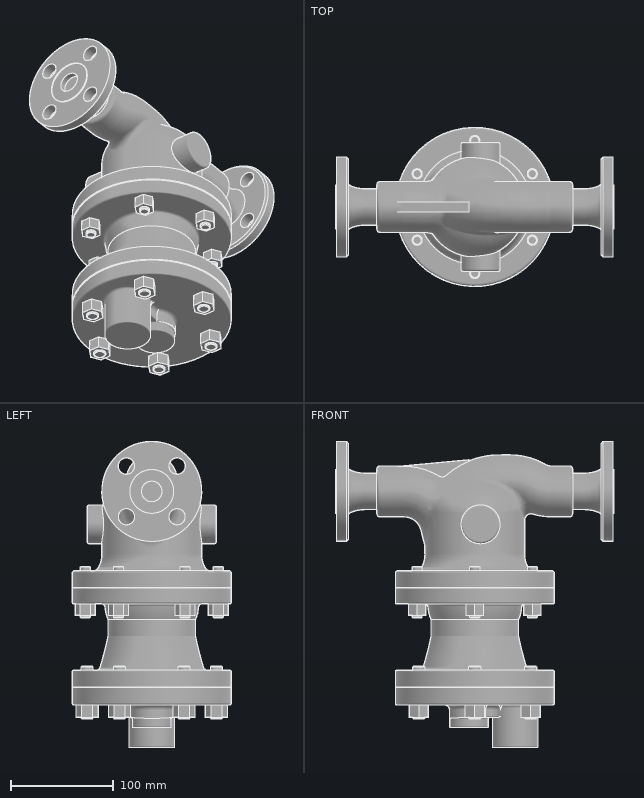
import cadquery as cq
import math


overall_height = 300.0

pipe_radius = 50.0 / 2
pipe_end_x = 96.0
pipe_end_fillet = 3.3
end_flange_radius = 98.0 / 2
port_height = overall_height - end_flange_radius
end_flange_inner_x = 123.5
end_flange_outer_x = 135.5
end_flange_chamfer = 2.0
raised_face_radius = 43.0 / 2
raised_face_x = 136.5
end_hub_base_radius = 22.2
end_hub_radius = 20.5
end_hub_x = 120.5
end_neck_radius = 18.0
end_neck_x = 108.0
bore_diameter = 20.0
bore_depth = 6.5
end_hole_diameter = 16.0
end_hole_circle_radius = 35.0
end_hole_count = 4
end_hole_first_angle = 45

inlet_elbow_x = -69.3
inlet_elbow_radius = 42.0
inlet_elbow_angle = math.radians(76)
inlet_tail = 24.0

outlet_start_x = 75.0
outlet_lower_radius = 36.3
outlet_upper_radius = 45.0
outlet_bend_angle = math.radians(30)
outlet_crest_length = 10.0
outlet_drop_radius = 55.2
outlet_drop_angle = math.radians(50)

body_radius = 98.0 / 2
dome_base_z = 230.7
dome_rise = 35.5
body_flare_top_z = 188.7
body_flare_base_z = 176.7
body_flare_radius = 52.2
flange_radius = 156 / 2
upper_flange_top_z = 173.5
upper_joint_z = 156.5
upper_flange_bottom_z = 140.7
upper_flange_top_edge = 2.7
upper_flange_fillet_radius = 112.2 / 2
waist_radius = 86.0 / 2
waist_shoulder_radius = 92.0 / 2
waist_fillet_radius = 49.2
waist_fillet_z = 137.7
waist_top_z = 125.5
waist_bottom_z = 109.0
waist_flare_middle_radius = 46.5
waist_flare_z = 79.0
waist_flare_radius = 50.7
waist_foot_radius = 54.0
lower_flange_top_z = 76.0
lower_joint_z = 59.0
lower_flange_bottom_z = 41.7
flange_edge = 1.8
joint_gap = 0.3
joint_depth = 1.0

elbow_fillet = 13.8
outlet_fillet = 6.0
outlet_blend_min_x = -30

boss_diameter = 38.0
boss_offset_x = 5.7
boss_z = 218.7
boss_half_span = 63.3
boss_fillet = 2.0

rib_width = 10.0
rib_start_x = -76.0
rib_end_x = -5.7
rib_start_z = port_height + math.sqrt(pipe_radius**2 - (rib_width / 2) ** 2)
rib_end_z = 282.0
rib_bottom_z = 252.0

drain_radius = 45 / 2
drain_x = 39.5
drain_skirt = 2.7
post_edge = 1.2
plug_x = -boss_offset_x
plug_bottom_z = 19.5
plug_skirt = 1.5
pad_radius = 20.7
pad_x = -4.2
pad_bottom_z = 29.5
web_half_width = 14.5
web_flare_radius = 11.7
pad_edge = 1.2
pad_root_fillet = 4.8
root_reach = flange_radius - 2 * flange_edge
root_zone_half_height = 0.3

stud_count = 6
stud_first_angle = 30
stud_chamfer = 1.0
nut_turn = 30
upper_stud_diameter = 10.0
upper_stud_circle_radius = 65.0
upper_stud_top_z = 177.5
upper_stud_bottom_z = 127.0
upper_nut_bottom_z = 129.5
upper_nut_flats = 17.0
lower_stud_diameter = 12.0
lower_stud_circle_radius = 63.3
lower_stud_top_z = 79.8
lower_stud_bottom_z = 28.2
lower_nut_bottom_z = 29.7
lower_nut_flats = 19.0


def make_body():
    """Domed body and waist, revolved about Z."""
    profile = (
        cq.Workplane("XZ")
        .moveTo(body_radius, dome_base_z)
        .lineTo(body_radius, body_flare_top_z)
        .tangentArcPoint((body_flare_radius, body_flare_base_z), relative=False)
        .tangentArcPoint((upper_flange_fillet_radius, upper_flange_top_z), relative=False)
        .lineTo(upper_flange_fillet_radius, upper_flange_bottom_z)
        .lineTo(waist_fillet_radius, upper_flange_bottom_z)
        .tangentArcPoint((waist_shoulder_radius, waist_fillet_z), relative=False)
        .tangentArcPoint((waist_radius, waist_top_z), relative=False)
        .lineTo(waist_radius, waist_bottom_z)
        .threePointArc(
            (waist_flare_middle_radius, (waist_bottom_z + waist_flare_z) / 2),
            (waist_flare_radius, waist_flare_z),
        )
        .tangentArcPoint((waist_foot_radius, lower_flange_top_z), relative=False)
        .lineTo(waist_foot_radius, lower_flange_bottom_z)
        .lineTo(0, lower_flange_bottom_z)
        .lineTo(0, dome_base_z)
        .close()
    )
    barrel = profile.revolve(360, (0, 0, 0), (0, 1, 0))
    dome = (
        cq.Workplane("XZ", origin=(0, 0, dome_base_z))
        .ellipseArc(body_radius, dome_rise, 0, 90, startAtCurrent=False)
        .lineTo(0, 0)
        .close()
        .revolve(360, (0, 0, 0), (0, 1, 0))
    )
    return barrel.union(dome)


def flange_pair(bottom_z, joint_z, top_z, top_edge):
    """Two bolted flanges with rounded rims and a fine groove at their joint."""
    pair = (
        cq.Workplane("XY", origin=(0, 0, bottom_z))
        .circle(flange_radius)
        .extrude(top_z - bottom_z)
        .faces(">Z")
        .edges()
        .fillet(top_edge)
        .faces("<Z")
        .edges()
        .fillet(flange_edge)
    )
    groove = (
        cq.Workplane("XY", origin=(0, 0, joint_z - joint_gap / 2))
        .circle(flange_radius)
        .circle(flange_radius - joint_depth)
        .extrude(joint_gap)
    )
    return pair.cut(groove)


def make_casting():
    """Body blended first into the inlet elbow, then into the outlet bend."""
    casting = make_body().union(make_inlet_elbow())
    casting = casting.edges("%BSPLINE").fillet(elbow_fillet)
    casting = casting.union(make_outlet_bend())
    outlet_zone = cq.selectors.BoxSelector(
        (outlet_blend_min_x, -body_radius, dome_base_z),
        (body_radius, body_radius, overall_height),
    )
    return casting.edges("%BSPLINE").edges(outlet_zone).fillet(outlet_fillet)


def make_end_flange():
    """Outlet pipe end with its neck and flange, revolved about the port axis."""
    end = (
        cq.Workplane("XZ", origin=(0, 0, port_height))
        .moveTo(pipe_end_x, 0)
        .lineTo(pipe_end_x, end_neck_radius)
        .lineTo(end_neck_x, end_neck_radius)
        .tangentArcPoint((end_hub_x, end_hub_radius), relative=False)
        .tangentArcPoint((end_flange_inner_x, end_hub_base_radius), relative=False)
        .lineTo(end_flange_inner_x, end_flange_radius - end_flange_chamfer)
        .lineTo(end_flange_inner_x + end_flange_chamfer, end_flange_radius)
        .lineTo(end_flange_outer_x, end_flange_radius)
        .lineTo(end_flange_outer_x, raised_face_radius)
        .lineTo(raised_face_x, raised_face_radius)
        .lineTo(raised_face_x, 0)
        .close()
        .revolve(360, (0, 0, 0), (1, 0, 0))
    )
    face = cq.Workplane("YZ", origin=(raised_face_x, 0, port_height))
    bore = face.circle(bore_diameter / 2).extrude(-bore_depth)
    holes = (
        face.polarArray(end_hole_circle_radius, end_hole_first_angle, 360, end_hole_count)
        .circle(end_hole_diameter / 2)
        .extrude(end_flange_inner_x - raised_face_x)
    )
    return end.cut(bore).cut(holes)


def pipe_stub(inner_x):
    """Straight pipe from a bend to the rounded shoulder at the pipe end."""
    return (
        cq.Workplane("YZ", origin=(inner_x, 0, port_height))
        .circle(pipe_radius)
        .extrude(pipe_end_x - inner_x)
        .faces(">X")
        .edges()
        .fillet(pipe_end_fillet)
    )


def polar(center, radius, angle):
    """Point at an angle measured from +Z toward +X."""
    return (center[0] + radius * math.sin(angle), center[1] + radius * math.cos(angle))


def make_inlet_elbow():
    """Pipe that turns down from the inlet into the body."""
    center = (inlet_elbow_x, port_height - inlet_elbow_radius)
    bend_end = polar(center, inlet_elbow_radius, inlet_elbow_angle)
    tail_end = polar(bend_end, inlet_tail, inlet_elbow_angle + math.pi / 2)
    path = (
        cq.Workplane("XZ")
        .moveTo(inlet_elbow_x, port_height)
        .threePointArc(polar(center, inlet_elbow_radius, inlet_elbow_angle / 2), bend_end)
        .lineTo(*tail_end)
    )
    section = cq.Workplane("YZ", origin=(inlet_elbow_x, 0, port_height)).circle(pipe_radius)
    return section.sweep(path)


def make_outlet_bend():
    """Pipe that rises from the outlet over a crest and drops into the body."""
    lower_center = (outlet_start_x, port_height + outlet_lower_radius)
    reversal = polar(lower_center, -outlet_lower_radius, outlet_bend_angle)
    upper_center = polar(reversal, -outlet_upper_radius, outlet_bend_angle)
    crest = polar(upper_center, outlet_upper_radius, 0)
    drop_start = (crest[0] - outlet_crest_length, crest[1])
    drop_center = (drop_start[0], drop_start[1] - outlet_drop_radius)
    path = (
        cq.Workplane("XZ")
        .moveTo(outlet_start_x, port_height)
        .threePointArc(polar(lower_center, -outlet_lower_radius, outlet_bend_angle / 2), reversal)
        .threePointArc(polar(upper_center, outlet_upper_radius, outlet_bend_angle / 2), crest)
        .lineTo(*drop_start)
        .threePointArc(
            polar(drop_center, outlet_drop_radius, -outlet_drop_angle / 2),
            polar(drop_center, outlet_drop_radius, -outlet_drop_angle),
        )
    )
    section = cq.Workplane("YZ", origin=(outlet_start_x, 0, port_height)).circle(pipe_radius)
    return section.sweep(path)


def make_side_bosses():
    """Plugged bosses that pass through the body along Y."""
    return (
        cq.Workplane("XZ", origin=(boss_offset_x, boss_half_span, boss_z))
        .circle(boss_diameter / 2)
        .extrude(2 * boss_half_span)
        .edges()
        .fillet(boss_fillet)
    )


def make_rib():
    """Flat rib bridging the notch between the elbow and the outlet bend."""
    return (
        cq.Workplane("XZ", origin=(0, rib_width / 2, 0))
        .moveTo(rib_start_x, rib_bottom_z)
        .lineTo(rib_start_x, rib_start_z)
        .lineTo(rib_end_x, rib_end_z)
        .lineTo(rib_end_x, rib_bottom_z)
        .close()
        .extrude(rib_width)
    )


def skirted_post(x, bottom_z, root_z, radius, skirt):
    """Vertical post with a rounded lower edge and a concave skirt at its root."""
    return (
        cq.Workplane("XZ", origin=(x, 0, 0))
        .moveTo(0, bottom_z)
        .lineTo(radius - post_edge, bottom_z)
        .tangentArcPoint((radius, bottom_z + post_edge), relative=False)
        .lineTo(radius, root_z - skirt)
        .tangentArcPoint((radius + skirt, root_z), relative=False)
        .lineTo(radius + skirt, root_z + flange_edge)
        .lineTo(0, root_z + flange_edge)
        .close()
        .revolve(360, (0, 0, 0), (0, 1, 0))
    )


def make_pad():
    """Pad above the plug, with a web that flares tangentially into the drain."""
    base = cq.Workplane("XY", origin=(0, 0, lower_flange_bottom_z + flange_edge))
    height = lower_flange_bottom_z + flange_edge - pad_bottom_z
    lobe = base.center(pad_x, 0).circle(pad_radius).extrude(-height)

    flare_y = web_half_width + web_flare_radius
    flare_distance = drain_radius + web_flare_radius
    flare_angle = math.asin(flare_y / flare_distance)
    flare_x = drain_x - flare_distance * math.cos(flare_angle)
    touch_x = drain_x - drain_radius * math.cos(flare_angle)
    touch_y = drain_radius * math.sin(flare_angle)
    web = (
        base.moveTo(pad_x, -web_half_width)
        .lineTo(flare_x, -web_half_width)
        .tangentArcPoint((touch_x, -touch_y), relative=False)
        .lineTo(drain_x, -touch_y)
        .lineTo(drain_x, touch_y)
        .lineTo(touch_x, touch_y)
        .radiusArc((flare_x, web_half_width), web_flare_radius)
        .lineTo(pad_x, web_half_width)
        .close()
        .extrude(-height)
    )
    return lobe.union(web).faces("<Z").edges().fillet(pad_edge)


def make_lower_flanges():
    """Lower flange pair with the drain, the plug and the pad that joins them."""
    flanges = flange_pair(lower_flange_bottom_z, lower_joint_z, lower_flange_top_z, flange_edge)
    root_zone = cq.selectors.BoxSelector(
        (-root_reach, -root_reach, lower_flange_bottom_z - root_zone_half_height),
        (root_reach, root_reach, lower_flange_bottom_z + root_zone_half_height),
    )
    flanges = flanges.union(make_pad()).edges(root_zone).fillet(pad_root_fillet)
    drain = skirted_post(drain_x, 0, lower_flange_bottom_z, drain_radius, drain_skirt)
    plug = skirted_post(plug_x, plug_bottom_z, pad_bottom_z, boss_diameter / 2, plug_skirt)
    pad_column = cq.Workplane("XY").center(pad_x, 0).circle(pad_radius).extrude(lower_flange_bottom_z)
    return flanges.union(drain).union(plug.intersect(pad_column))


def make_fasteners(diameter, circle_radius, top_z, bottom_z, nut_flats, nut_bottom_z, seat_z):
    """Ring of studs with hexagon nuts seated under a flange pair."""
    nut_corners = nut_flats / math.cos(math.pi / 6)
    ring = cq.Workplane("XY")
    for index in range(stud_count):
        angle = math.radians(stud_first_angle + index * 360 / stud_count)
        x = circle_radius * math.cos(angle)
        y = circle_radius * math.sin(angle)
        stud = (
            cq.Workplane("XY", origin=(x, y, bottom_z))
            .circle(diameter / 2)
            .extrude(top_z - bottom_z)
            .edges()
            .chamfer(stud_chamfer)
        )
        nut = (
            cq.Workplane("XY", origin=(x, y, nut_bottom_z))
            .transformed(rotate=(0, 0, nut_turn))
            .polygon(6, nut_corners)
            .extrude(seat_z - nut_bottom_z)
        )
        ring = ring.add(stud.union(nut))
    return ring.combine()


outlet_end = make_end_flange()
result = (
    make_casting()
    .union(flange_pair(upper_flange_bottom_z, upper_joint_z, upper_flange_top_z, upper_flange_top_edge))
    .union(make_lower_flanges())
    .union(make_side_bosses())
    .union(make_rib())
    .union(pipe_stub(outlet_start_x))
    .union(pipe_stub(-inlet_elbow_x).mirror("YZ"))
    .union(outlet_end)
    .union(outlet_end.mirror("YZ"))
    .union(
        make_fasteners(
            upper_stud_diameter,
            upper_stud_circle_radius,
            upper_stud_top_z,
            upper_stud_bottom_z,
            upper_nut_flats,
            upper_nut_bottom_z,
            upper_flange_bottom_z,
        )
    )
    .union(
        make_fasteners(
            lower_stud_diameter,
            lower_stud_circle_radius,
            lower_stud_top_z,
            lower_stud_bottom_z,
            lower_nut_flats,
            lower_nut_bottom_z,
            lower_flange_bottom_z,
        )
    )
)